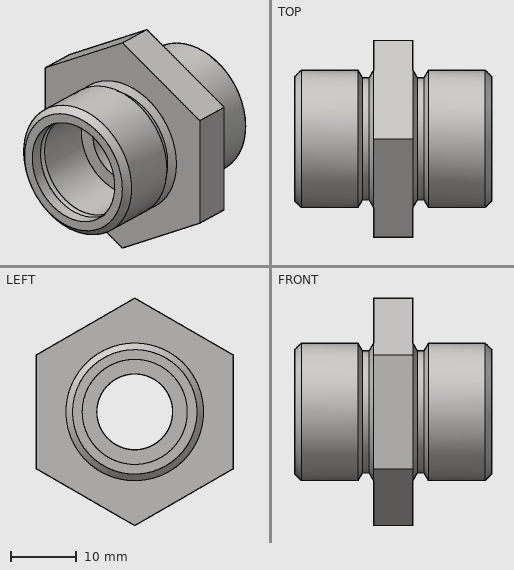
import cadquery as cq
import math

hex_corner_span = 34.65
length = 30.0
hex_thickness = length / 5

end_diameter = 20.95
end_chamfer = 1.0

relief_diameter = 18.65
relief_width = 2.35
relief_flank_angle = 30

bore_diameter = 11.5
counterbore_diameter = 16.0
counterbore_depth = (length - hex_thickness) / 2

ring_groove_width = 1.0
ring_groove_start = 2.0


def cylinder_along_x(diameter, start, depth):
    return cq.Workplane("YZ", origin=(start, 0, 0)).circle(diameter / 2).extrude(depth)


def make_hexagon():
    return (
        cq.Workplane("YZ", origin=(-hex_thickness / 2, 0, 0))
        .transformed(rotate=(0, 0, 90))
        .polygon(6, hex_corner_span)
        .extrude(hex_thickness)
    )


def make_positive_end():
    """Revolve the outside of the +X end about the X axis."""
    radius = end_diameter / 2
    floor_radius = relief_diameter / 2
    flank = (radius - floor_radius) * math.tan(math.radians(relief_flank_angle))
    relief_start = hex_thickness / 2
    relief_end = relief_start + relief_width
    tip = length / 2
    return (
        cq.Workplane("XY")
        .moveTo(0, 0)
        .lineTo(0, radius)
        .lineTo(relief_start, radius)
        .lineTo(relief_start + flank, floor_radius)
        .lineTo(relief_end - flank, floor_radius)
        .lineTo(relief_end, radius)
        .lineTo(tip - end_chamfer, radius)
        .lineTo(tip, radius - end_chamfer)
        .lineTo(tip, 0)
        .close()
        .revolve(360, (0, 0, 0), (1, 0, 0))
    )


def make_positive_cavity():
    """Counterbore and ring groove to be cut from the +X end."""
    counterbore = cylinder_along_x(
        counterbore_diameter, length / 2 - counterbore_depth, counterbore_depth
    )
    groove_center = length / 2 - ring_groove_start - ring_groove_width / 2
    ring = (
        cq.Workplane("XY")
        .center(groove_center, counterbore_diameter / 2)
        .circle(ring_groove_width / 2)
        .revolve(360, (0, -counterbore_diameter / 2, 0), (1, -counterbore_diameter / 2, 0))
    )
    return counterbore.union(ring)


positive_end = make_positive_end()
positive_cavity = make_positive_cavity()

result = (
    make_hexagon()
    .union(positive_end)
    .union(positive_end.mirror("YZ"))
    .cut(cylinder_along_x(bore_diameter, -length / 2, length))
    .cut(positive_cavity)
    .cut(positive_cavity.mirror("YZ"))
)